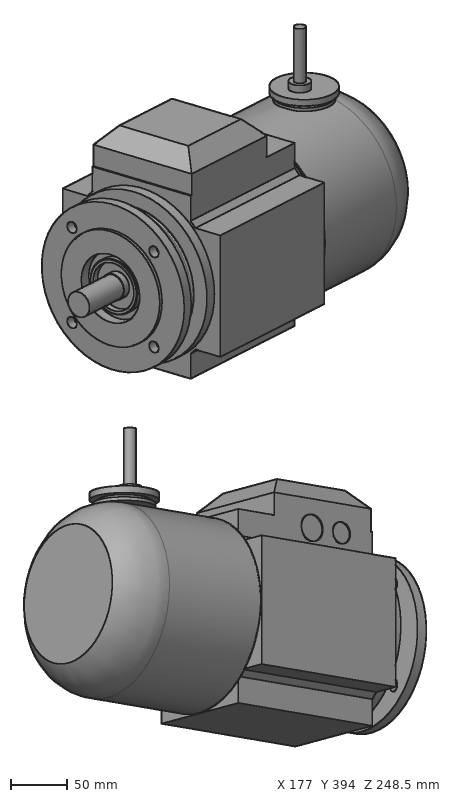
import cadquery as cq


overall_length = 394.0
overall_height = 248.5

shaft_diameter = 24.0
shaft_radius = shaft_diameter / 2
shaft_length = 50.0
shaft_root_radius = 12.5

flange_radius = 80.0
flange_thickness = 10.2
pilot_radius = 55.0
pilot_height = 3.5
bolt_circle_radius = 65.0
bolt_hole_diameter = 10.5
bolt_count = 4
bolt_start_angle = 45

recess_radius = 32.7
recess_floor_y = 7.5
collar_outer_radius = 26.5
collar_inner_radius = 23.0
collar_top_y = 0.8
collar_chamfer = 0.8

joint_width = 1.0
joint_depth = 1.0

neck_radius = 52.8
neck_end_y = 25.2
neck_ring_radius = 54.0
shield_disc_radius = 68.0
shield_disc_y = 27.5
shield_disc_fillet = 1.5
shield_radius = 82.0
shield_front_y = 30.7

body_size = 177.0
body_half_size = body_size / 2
body_front_y = 41.8
body_rear_y = 194.2
body_length = body_rear_y - body_front_y
upright_half_width = 55.0
side_half_height = 58.7
corner_leg = 5.5

cover_radius = body_half_size
cover_front_y = body_rear_y + joint_width
dome_start_y = 299.5
rear_y = overall_length - shaft_length
dome_arc_radius = 51.0
dome_end_radius = 63.0

box_front_y = 43.5
box_size = 2 * upright_half_width
box_wall_top_z = 109.0
box_top_z = 126.5
lid_bevel = 16.5

cable_entries = [(110.5, 12.2), (77.0, 10.0)]
entry_z = 82.7
entry_depth = 1.0

release_y = 280.0
release_base_radius = 28.0
release_base_top_z = 91.0
release_neck_radius = 23.2
release_disc_radius = 31.0
release_disc_bottom_z = 94.0
release_disc_top_z = 100.5
lever_y = 274.0
lever_hub_radius = 10.2
lever_hub_top_z = 107.5
lever_radius = 5.5
lever_top_z = overall_height - body_half_size
release_base_bottom_z = 88.0


def revolve_about_shaft(profile):
    """Turn a closed (radius, Y) profile about the shaft axis."""
    return profile.close().revolve(360, (0, 0, 0), (0, 1, 0))


def block_between(front_y, rear_y, width, height):
    """Block centred on the shaft axis, between two Y positions."""
    return cq.Workplane("XY").box(width, rear_y - front_y, height).translate((0, (front_y + rear_y) / 2, 0))


def upright_cylinder(y, radius, bottom_z, top_z):
    """Cylinder along Z on the middle plane of the motor."""
    return cq.Workplane("XY", origin=(0, y, bottom_z)).circle(radius).extrude(top_z - bottom_z)


def make_drive_end():
    """Shaft, flange, recess, neck and end shield as one turned part."""
    profile = (
        cq.Workplane("XY")
        .moveTo(0, -shaft_length)
        .lineTo(shaft_radius, -shaft_length)
        .lineTo(shaft_radius, 0)
        .lineTo(shaft_root_radius, 0)
        .lineTo(shaft_root_radius, recess_floor_y)
        .lineTo(collar_inner_radius, recess_floor_y)
        .lineTo(collar_inner_radius, collar_top_y)
        .lineTo(collar_outer_radius - collar_chamfer, collar_top_y)
        .lineTo(collar_outer_radius, collar_top_y + collar_chamfer)
        .lineTo(collar_outer_radius, recess_floor_y)
        .lineTo(recess_radius, recess_floor_y)
        .lineTo(recess_radius, -pilot_height)
        .lineTo(pilot_radius, -pilot_height)
        .lineTo(pilot_radius, 0)
        .lineTo(flange_radius, 0)
        .lineTo(flange_radius, flange_thickness)
        .lineTo(neck_radius - joint_depth, flange_thickness)
        .lineTo(neck_radius - joint_depth, flange_thickness + joint_width)
        .lineTo(neck_radius, flange_thickness + joint_width)
        .lineTo(neck_radius, neck_end_y)
        .lineTo(neck_ring_radius, neck_end_y)
        .lineTo(neck_ring_radius, shield_disc_y)
        .lineTo(shield_disc_radius - shield_disc_fillet, shield_disc_y)
        .radiusArc((shield_disc_radius, shield_disc_y + shield_disc_fillet), -shield_disc_fillet)
        .lineTo(shield_disc_radius, shield_front_y - joint_width)
        .lineTo(shield_disc_radius - joint_depth, shield_front_y - joint_width)
        .lineTo(shield_disc_radius - joint_depth, shield_front_y)
        .lineTo(shield_radius, shield_front_y)
        .lineTo(shield_radius, body_front_y)
        .lineTo(0, body_front_y)
    )
    bolt_holes = (
        cq.Workplane("XZ")
        .polarArray(bolt_circle_radius, bolt_start_angle, 360, bolt_count)
        .circle(bolt_hole_diameter / 2)
        .extrude(-flange_thickness)
    )
    return revolve_about_shaft(profile).cut(bolt_holes)


def make_body():
    """Cross-shaped housing with sloped fillers in the four inner corners."""
    upright = block_between(body_front_y, body_rear_y, 2 * upright_half_width, body_size)
    sides = block_between(body_front_y, body_rear_y, body_size, 2 * side_half_height)
    body = upright.union(sides)
    for side in (-1, 1):
        for level in (-1, 1):
            x = side * upright_half_width
            z = level * side_half_height
            filler = (
                cq.Workplane("XZ", origin=(0, body_front_y, 0))
                .polyline([(x, z), (x + side * corner_leg, z), (x, z + level * corner_leg)])
                .close()
                .extrude(-body_length)
            )
            body = body.union(filler)
    return body


def make_cover():
    """Round cover with a domed rear end and a thin joint to the body."""
    profile = (
        cq.Workplane("XY")
        .moveTo(0, body_rear_y)
        .lineTo(cover_radius - joint_depth, body_rear_y)
        .lineTo(cover_radius - joint_depth, cover_front_y)
        .lineTo(cover_radius, cover_front_y)
        .lineTo(cover_radius, dome_start_y)
        .radiusArc((dome_end_radius, rear_y), -dome_arc_radius)
        .lineTo(0, rear_y)
    )
    return revolve_about_shaft(profile)


def make_terminal_box():
    """Square box whose lid is bevelled on all four sides."""
    centre_y = box_front_y + box_size / 2
    walls = (
        cq.Workplane("XY", origin=(0, centre_y, side_half_height))
        .rect(box_size, box_size)
        .extrude(box_wall_top_z - side_half_height)
    )
    lid_top_size = box_size - 2 * lid_bevel
    lid = (
        cq.Workplane("XY", origin=(0, centre_y, box_wall_top_z))
        .rect(box_size, box_size)
        .workplane(offset=box_top_z - box_wall_top_z)
        .rect(lid_top_size, lid_top_size)
        .loft(ruled=True)
    )
    return walls.union(lid)


def cut_cable_entries(housing):
    """Sink shallow round recesses into the -X side below the lid."""
    for y, radius in cable_entries:
        entry = (
            cq.Workplane("YZ", origin=(-upright_half_width, y, entry_z))
            .circle(radius)
            .extrude(entry_depth)
        )
        housing = housing.cut(entry)
    return housing


def make_hand_release():
    """Stepped round seat with an off-centre lever."""
    seat = upright_cylinder(release_y, release_base_radius, release_base_bottom_z, release_base_top_z)
    neck = upright_cylinder(release_y, release_neck_radius, release_base_top_z, release_disc_bottom_z)
    disc = upright_cylinder(release_y, release_disc_radius, release_disc_bottom_z, release_disc_top_z)
    hub = upright_cylinder(lever_y, lever_hub_radius, release_disc_top_z, lever_hub_top_z)
    lever = upright_cylinder(lever_y, lever_radius, lever_hub_top_z, lever_top_z)
    return seat.union(neck).union(disc).union(hub).union(lever)


housing = cut_cable_entries(make_body().union(make_terminal_box()))
result = housing.union(make_drive_end()).union(make_cover()).union(make_hand_release())